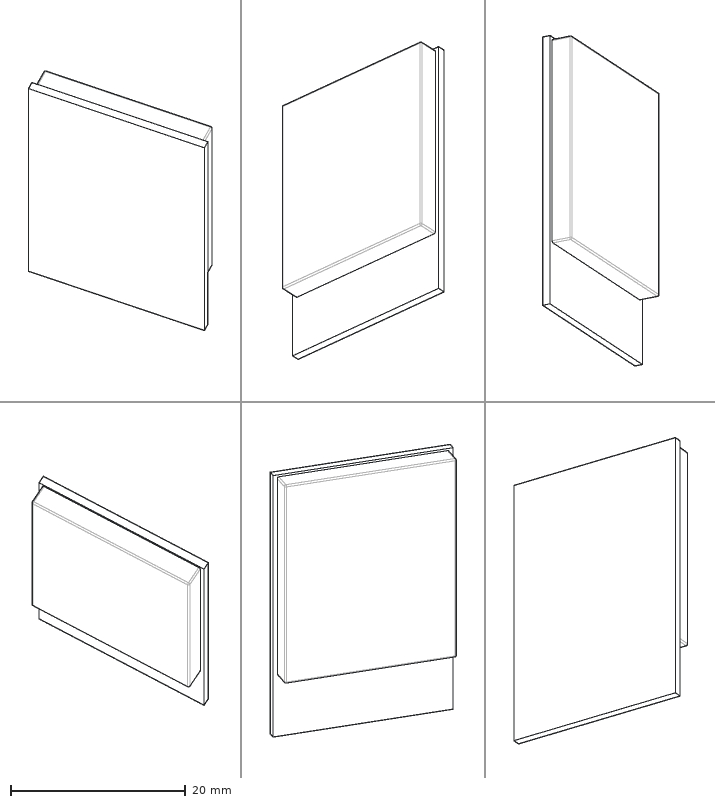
import cadquery as cq

board_width = 22.0
board_height = 33.0
board_thickness = 1.0

overall_depth = 3.5
shield_side_inset = 0.5
shield_top_inset = 0.25
shield_height = 25.0
shield_edge_radius = 0.2

shield_width = board_width - 2 * shield_side_inset
shield_depth = overall_depth - board_thickness
shield_bottom = board_height - shield_top_inset - shield_height


def make_board():
    """Plain plate with its front face on the XZ plane and its bottom edge at Z = 0."""
    return cq.Workplane("XY").box(
        board_width, board_thickness, board_height, centered=(True, False, False)
    )


def make_shield():
    """Block on the back of the board; every edge is rounded except those against the board."""
    block = cq.Workplane("XY").box(
        shield_width, shield_depth, shield_height, centered=(True, False, False)
    )
    rounded = block.edges("|Y or >Y").fillet(shield_edge_radius)
    return rounded.translate((0, board_thickness, shield_bottom))


board = make_board()
shield = make_shield()

result = cq.Compound.makeCompound([board.val(), shield.val()])